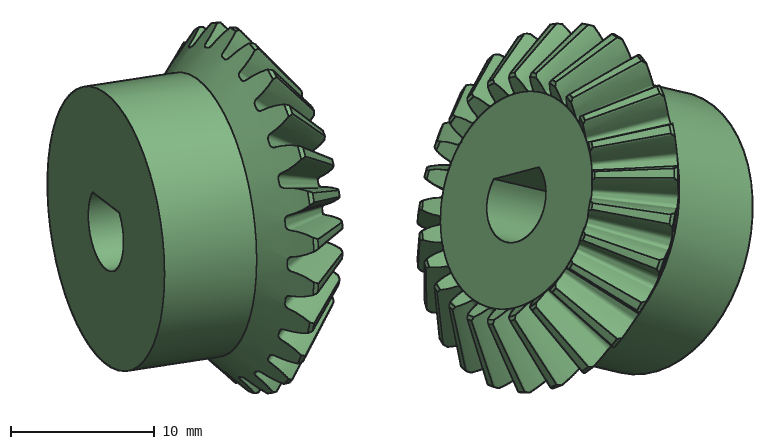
import cadquery as cq
import math


teeth = 25
pitch_radius = 12.5
module = 2 * pitch_radius / teeth
pressure_angle = math.radians(20)
overall_length = 14.07
outer_radius = 13.02
hub_radius = 10.0
hub_length = 7.0
bore_radius = 3.0
bore_flat_height = 1.95
addendum = module
root_clearance = 0.25 * module
dedendum = addendum + root_clearance
root_fillet = 0.36
tip_chamfer = 0.1
face_width = 6.0

pitch_angle = math.radians(45)
cone_distance = pitch_radius / math.sin(pitch_angle)
face_angle = pitch_angle + math.atan(addendum / cone_distance)
root_angle = pitch_angle - math.atan(dedendum / cone_distance)

back_cone_sum = pitch_radius / math.tan(pitch_angle) + pitch_radius
hub_shoulder_y = hub_radius - back_cone_sum
hub_face_y = hub_shoulder_y - hub_length
front_y = hub_face_y + overall_length
tip_front_radius = -front_y * math.tan(face_angle)

front_cone_sum = back_cone_sum * (1 - face_width / cone_distance)
root_front_y = -front_cone_sum / (1 + math.tan(root_angle))
root_front_radius = front_cone_sum + root_front_y

virtual_radius = pitch_radius / math.cos(pitch_angle)
virtual_teeth = teeth / math.cos(pitch_angle)
base_radius = virtual_radius * math.cos(pressure_angle)
root_radius = virtual_radius - dedendum
chamfer_start_radius = virtual_radius + addendum - tip_chamfer
gap_overrun = 0.5 * addendum

gap_back_scale = 1.1
gap_front_scale = 0.55


def involute(angle):
    return math.tan(angle) - angle


def gap_flank_point(radius):
    """Point on the right flank of a tooth gap of the virtual gear, centred on the local Y axis.

    The points lie on an involute down to the base circle and on a radial line below it.
    """
    angle = math.acos(min(1.0, base_radius / radius))
    half_gap = math.pi / (2 * virtual_teeth) - involute(pressure_angle) + involute(angle)
    return radius * math.sin(half_gap), radius * math.cos(half_gap)


def mirrored(point):
    return -point[0], point[1]


def make_blank():
    """Turned body: hub, back cone, rim, face cone and a front sunk to the root of the teeth."""
    profile = [
        (0, hub_face_y),
        (hub_radius, hub_face_y),
        (hub_radius, hub_shoulder_y),
        (outer_radius, outer_radius - back_cone_sum),
        (outer_radius, -outer_radius / math.tan(face_angle)),
        (tip_front_radius, front_y),
        (front_cone_sum + front_y, front_y),
        (root_front_radius, root_front_y),
        (0, root_front_y),
    ]
    return cq.Workplane("XY").polyline(profile).close().revolve(360, (0, 0), (0, 1))


def make_gap():
    """Tooth gap cutter on the +X side, tapering towards the apex."""
    root = gap_flank_point(root_radius)
    middle = gap_flank_point(virtual_radius)
    flank_end = gap_flank_point(chamfer_start_radius)
    flare = tip_chamfer + gap_overrun
    outer = flank_end[0] + flare, flank_end[1] + flare
    outline = (
        cq.Sketch()
        .segment(mirrored(root), root)
        .arc(root, middle, flank_end)
        .segment(flank_end, outer)
        .segment(outer, mirrored(outer))
        .segment(mirrored(outer), mirrored(flank_end))
        .arc(mirrored(flank_end), mirrored(middle), mirrored(root))
        .assemble()
        .vertices("<Y")
        .fillet(root_fillet)
    )
    back_plane = cq.Plane(
        origin=(0, -back_cone_sum, 0),
        xDir=(0, 0, -1),
        normal=(math.cos(pitch_angle), -math.sin(pitch_angle), 0),
    )
    wire = outline.reset().faces().val().outerWire().moved(cq.Location(back_plane))
    ends = [wire.scale(gap_back_scale), wire.scale(gap_front_scale)]
    return cq.Solid.makeLoft(ends, True)


def make_bore():
    """D-shaped bore with its flat on the +Z side."""
    half_flat = math.sqrt(bore_radius**2 - bore_flat_height**2)
    return (
        cq.Workplane("XZ", origin=(0, hub_face_y, 0))
        .moveTo(-half_flat, bore_flat_height)
        .threePointArc((0, -bore_radius), (half_flat, bore_flat_height))
        .close()
        .extrude(-overall_length)
    )


gap = make_gap()
axis_start = cq.Vector(0, 0, 0)
axis_end = cq.Vector(0, 1, 0)
gaps = [gap.rotate(axis_start, axis_end, i * 360 / teeth) for i in range(teeth)]
gear = make_blank().cut(make_bore()).val().cut(*gaps)
result = cq.Workplane(gear.translate(cq.Vector(0, -hub_face_y, 0)))